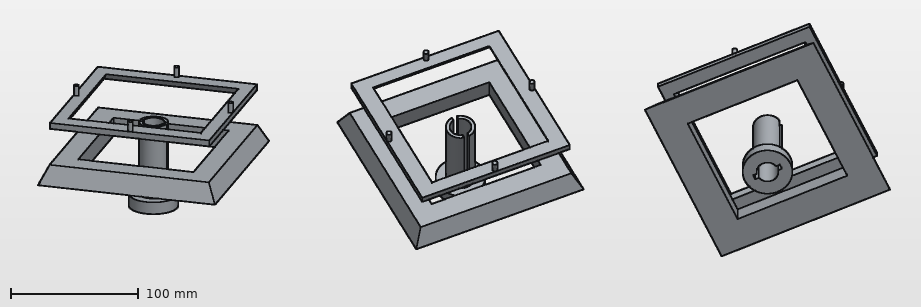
import cadquery as cq

BASE_SIDE = 144.8
BASE_TOP_SIDE = 130.1
BASE_OPENING = 94.1
BASE_BOTTOM = 35.3
BASE_HEIGHT = 15.3

FLANGE_DIAMETER = 39.0
FLANGE_HEIGHT = 10.0
TUBE_DIAMETER = 23.0
TUBE_TOP = 70.0
BORE_DIAMETER = 17.0
SLOT_WIDTH = 4.0

COVER_LENGTH = BASE_TOP_SIDE
COVER_WIDTH = 127.5
COVER_OPENING_LENGTH = 108.0
COVER_OPENING_WIDTH = 100.0
COVER_BOTTOM = 80.2
COVER_THICKNESS = 5.0
OPENING_FLARE = COVER_THICKNESS * (BASE_SIDE - BASE_TOP_SIDE) / 2 / BASE_HEIGHT
PIN_DIAMETER = 4.0
OVERALL_HEIGHT = 93.4
PIN_X = COVER_LENGTH / 2 - PIN_DIAMETER / 2
PIN_Y = COVER_WIDTH / 2 - PIN_DIAMETER / 2


def make_base_frame():
    """Tapered square frame with a straight-sided opening."""
    body = (
        cq.Workplane("XY", origin=(0, 0, BASE_BOTTOM))
        .rect(BASE_SIDE, BASE_SIDE)
        .workplane(offset=BASE_HEIGHT)
        .rect(BASE_TOP_SIDE, BASE_TOP_SIDE)
        .loft(ruled=True)
    )
    opening = (
        cq.Workplane("XY", origin=(0, 0, BASE_BOTTOM))
        .rect(BASE_OPENING, BASE_OPENING)
        .extrude(BASE_HEIGHT)
    )
    return body.cut(opening)


def make_flanged_tube():
    """Flanged tube, bored through, with two opposite slots along its full height."""
    flange = cq.Workplane("XY").circle(FLANGE_DIAMETER / 2).extrude(FLANGE_HEIGHT)
    tube = cq.Workplane("XY").circle(TUBE_DIAMETER / 2).extrude(TUBE_TOP)
    bore = cq.Workplane("XY").circle(BORE_DIAMETER / 2).extrude(TUBE_TOP)
    slots = cq.Workplane("XY").rect(TUBE_DIAMETER, SLOT_WIDTH).extrude(TUBE_TOP).intersect(tube)
    return flange.union(tube).cut(bore).cut(slots)


def make_cover_frame():
    """Rectangular frame with a flared opening and four mid-side pins tangent to its outer edges."""
    frame = (
        cq.Workplane("XY", origin=(0, 0, COVER_BOTTOM))
        .rect(COVER_LENGTH, COVER_WIDTH)
        .extrude(COVER_THICKNESS)
    )
    opening = (
        cq.Workplane("XY", origin=(0, 0, COVER_BOTTOM))
        .rect(COVER_OPENING_LENGTH + 2 * OPENING_FLARE, COVER_OPENING_WIDTH + 2 * OPENING_FLARE)
        .workplane(offset=COVER_THICKNESS)
        .rect(COVER_OPENING_LENGTH, COVER_OPENING_WIDTH)
        .loft(ruled=True)
    )
    pins = (
        cq.Workplane("XY", origin=(0, 0, COVER_BOTTOM))
        .pushPoints([(-PIN_X, 0), (PIN_X, 0), (0, -PIN_Y), (0, PIN_Y)])
        .circle(PIN_DIAMETER / 2)
        .extrude(OVERALL_HEIGHT - COVER_BOTTOM)
    )
    return frame.cut(opening).union(pins)


base_frame = make_base_frame()
flanged_tube = make_flanged_tube()
cover_frame = make_cover_frame()

result = cq.Compound.makeCompound([base_frame.val(), flanged_tube.val(), cover_frame.val()])